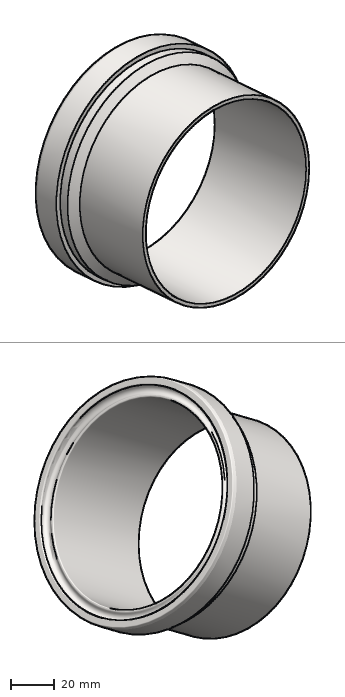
import cadquery as cq
import math

total_length = 66.0
bore_radius = 100.0 / 2
tube_radius = 104.0 / 2
shoulder_radius = 114.0 / 2
flange_radius = 118.9 / 2

flange_end = 15.0
shoulder_end = 20.0
cone_angle = math.radians(30.0)
cone_end = shoulder_end + (shoulder_radius - tube_radius) * math.tan(cone_angle)

taper_length = 2.0
taper_angle = math.radians(15.0)
face_radius = flange_radius - taper_length * math.tan(taper_angle)

groove_radius = 2.25
groove_center_x = 1.9
groove_center_y = 53.3
lip_setback = 3.0

mouth_radius = groove_center_y + math.sqrt(groove_radius**2 - groove_center_x**2)
lip_edge_radius = groove_center_y - math.sqrt(groove_radius**2 - (lip_setback - groove_center_x) ** 2)

face_round = 0.5
mouth_round = 0.6
lip_groove_round = 0.8
lip_bore_round = 0.5


def liner_profile():
    """Sharp-edged half section in the XY plane: X runs along the axis, Y is the radius."""
    groove_bottom = (groove_center_x + groove_radius, groove_center_y)
    return (
        cq.Workplane("XY")
        .moveTo(0, mouth_radius)
        .lineTo(0, face_radius)
        .lineTo(taper_length, flange_radius)
        .lineTo(flange_end, flange_radius)
        .lineTo(flange_end, shoulder_radius)
        .lineTo(shoulder_end, shoulder_radius)
        .lineTo(cone_end, tube_radius)
        .lineTo(total_length, tube_radius)
        .lineTo(total_length, bore_radius)
        .lineTo(lip_setback, bore_radius)
        .lineTo(lip_setback, lip_edge_radius)
        .threePointArc(groove_bottom, (0, mouth_radius))
        .close()
    )


def round_edge(body, x, radius, fillet):
    """Fillet the circular edge of the given radius that lies at the given X."""
    margin = 0.01
    edge_zone = cq.selectors.BoxSelector(
        (x - margin, -radius - margin, -radius - margin),
        (x + margin, radius + margin, radius + margin),
        boundingbox=True,
    )
    inner_limit = radius - margin
    circles = body.edges(edge_zone).filter(lambda edge: edge.geomType() == "CIRCLE")
    return circles.filter(lambda edge: edge.radius() > inner_limit).fillet(fillet)


result = liner_profile().revolve(360, (0, 0, 0), (1, 0, 0))
result = round_edge(result, 0, face_radius, face_round)
result = round_edge(result, 0, mouth_radius, mouth_round)
result = round_edge(result, lip_setback, lip_edge_radius, lip_groove_round)
result = round_edge(result, lip_setback, bore_radius, lip_bore_round)